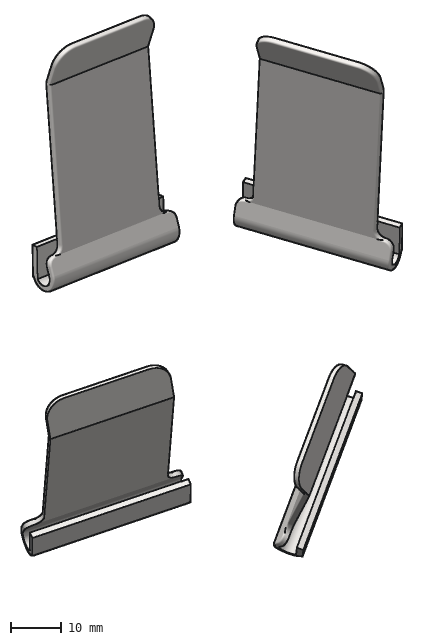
import cadquery as cq
import math

height = 52.6
hook_width = 34.0
strip_width = 26.55
strip_offset = -0.2
thickness = 1.25

roll_outer = 3.2
roll_inner = roll_outer - thickness
roll_x = roll_outer
roll_z = roll_outer
leg_top = 9.2
leg_bottom = 2.15
leg_thickness = 1.35

shoulder_bend_z = 7.55
tip_bend_z = 44.1
shoulder_lean = math.radians(20)
strip_lean = math.radians(5.5)
tip_lean = math.radians(20)
mitre_tilt = (shoulder_lean + strip_lean) / 2

tip_corner_radius = 4.2
edge_radius = 0.35
bend_overrun = 4.2
bend_line_min_length = 0.9 * strip_width


def shoulder_radius(side):
    """The step from hook to strip is a convex and a concave arc of equal radius."""
    step = (hook_width - strip_width) / 2 - side * strip_offset
    return step / 2


def midpoint(first, second):
    return ((first[0] + second[0]) / 2, (first[1] + second[1]) / 2)


def roll_point(radius, angle):
    return (roll_x + radius * math.cos(angle), roll_z + radius * math.sin(angle))


def climb(point, z, lean):
    """Point at height z on a line through point, leaning towards -X."""
    return (point[0] - (z - point[1]) * math.tan(lean), z)


def across_bend(point, lean_below, lean_above):
    """Back-face corner opposite a front-face corner, along the mitre of the bend."""
    tilt = (lean_below + lean_above) / 2
    reach = thickness / math.cos((lean_below - lean_above) / 2)
    return (point[0] + reach * math.cos(tilt), point[1] + reach * math.sin(tilt))


front_tangent = roll_point(roll_inner, shoulder_lean)
back_tangent = roll_point(roll_outer, shoulder_lean)
front_shoulder = climb(front_tangent, shoulder_bend_z, shoulder_lean)
back_shoulder = across_bend(front_shoulder, shoulder_lean, strip_lean)
front_bend = climb(front_shoulder, tip_bend_z, strip_lean)
back_bend = across_bend(front_bend, strip_lean, -tip_lean)
front_tip = climb(front_bend, height, -tip_lean)
back_tip = across_bend(front_tip, -tip_lean, -tip_lean)

leg_start = math.pi + math.asin((roll_z - leg_bottom) / roll_outer)
leg_inner_start = math.pi + math.asin((roll_z - leg_bottom) / roll_inner)
roll_bottom = -math.pi / 2
outer_foot = roll_point(roll_outer, leg_start)
inner_foot = roll_point(roll_inner, leg_inner_start)


def sheet(section, width):
    """Extrude an XZ section symmetrically about Y = 0."""
    return section.close().extrude(width / 2, both=True)


def outline_prism():
    """Width outline of the clip, run through the sheet along the mitre of the shoulder bend."""
    plane = cq.Plane(
        origin=(front_shoulder[0], 0, front_shoulder[1]),
        xDir=(0, 1, 0),
        normal=(math.cos(mitre_tilt), 0, math.sin(mitre_tilt)),
    )
    half_hook = hook_width / 2
    outline = cq.Workplane(plane).moveTo(-half_hook, -height).lineTo(half_hook, -height)

    right = shoulder_radius(1)
    right_y = strip_offset + strip_width / 2
    outline = (
        outline.lineTo(half_hook, -right)
        .radiusArc((right_y + right, 0), -right)
        .radiusArc((right_y, right), right)
        .lineTo(right_y, height)
    )
    left = shoulder_radius(-1)
    left_y = strip_offset - strip_width / 2
    outline = (
        outline.lineTo(left_y, height)
        .lineTo(left_y, left)
        .radiusArc((left_y - left, 0), left)
        .radiusArc((-half_hook, -left), -left)
    )
    return outline.close().extrude(height, both=True)


def above_mitre():
    """Block covering everything above the mitre of the shoulder bend."""
    block = cq.Workplane("XY").box(2 * height, 2 * height, 2 * height, centered=(True, True, False))
    block = block.rotate((0, 0, 0), (0, 1, 0), -math.degrees(mitre_tilt))
    return block.translate((front_shoulder[0], 0, front_shoulder[1]))


def round_outline(plate, face_points):
    """Round the outline edges of the back faces centred nearest to the given XZ points."""
    outline = []
    for x, z in face_points:
        face = plate.faces(cq.selectors.NearestToPointSelector((x, 0, z)))
        for edge in face.edges().vals():
            if edge.BoundingBox().ylen < bend_line_min_length:
                outline.append(edge)
    return plate.newObject(outline).fillet(edge_radius)


def make_leg():
    section = cq.Workplane("XZ").polyline(
        [(0, leg_top), outer_foot, inner_foot, (leg_thickness, leg_top)]
    )
    return sheet(section, hook_width)


def make_roll():
    """Roll and shoulder, shaped past the bend and then cut off along its mitre."""
    front_end = climb(front_shoulder, shoulder_bend_z + bend_overrun, shoulder_lean)
    back_end = across_bend(front_end, shoulder_lean, shoulder_lean)
    section = (
        cq.Workplane("XZ")
        .moveTo(*outer_foot)
        .threePointArc(roll_point(roll_outer, roll_bottom), back_tangent)
        .lineTo(*back_end)
        .lineTo(*front_end)
        .lineTo(*front_tangent)
        .threePointArc(roll_point(roll_inner, roll_bottom), inner_foot)
    )
    plate = sheet(section, hook_width).intersect(outline_prism())
    roll_back = roll_point(roll_outer, roll_bottom)
    plate = round_outline(plate, [roll_back, midpoint(back_tangent, back_end)])
    return plate.cut(above_mitre())


def make_strip():
    """Strip and tip, shaped past the shoulder bend and then cut off along its mitre."""
    front_end = climb(front_shoulder, shoulder_bend_z - bend_overrun, strip_lean)
    back_end = across_bend(front_end, strip_lean, strip_lean)
    corners = [front_end, back_end, back_bend, back_tip, front_tip, front_bend]
    plate = sheet(cq.Workplane("XZ").polyline(corners), hook_width).intersect(outline_prism())
    tip_x, tip_z = midpoint(front_tip, back_tip)
    for side in (-1, 1):
        corner_y = strip_offset + side * strip_width / 2
        corner = cq.selectors.NearestToPointSelector((tip_x, corner_y, tip_z))
        plate = plate.edges(corner).fillet(tip_corner_radius)
    plate = round_outline(plate, [midpoint(back_end, back_bend), midpoint(back_bend, back_tip)])
    return plate.intersect(above_mitre())


result = make_leg().union(make_roll()).union(make_strip())